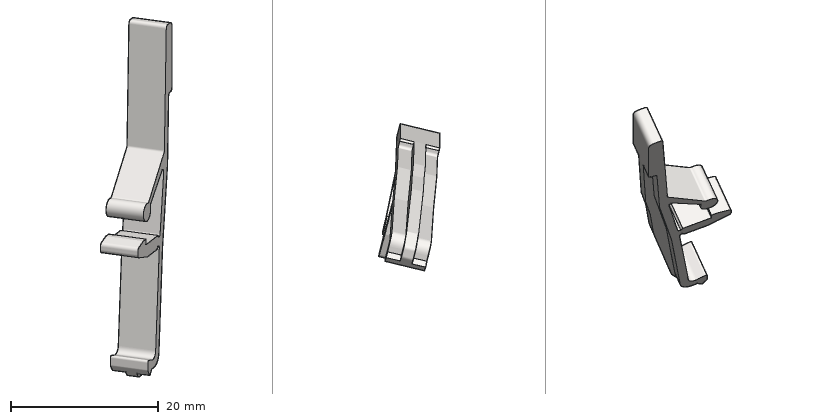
import cadquery as cq
import math


clip_width = 5.5
clip_height = 48.98
clip_depth = 12.12

plate_thickness = 1.25
plate_start = (1.21, 39.07)
upper_kink = (1.60, 28.96)
lower_kink = (3.37, 17.60)
heel_start = (4.60, 3.41)

pad_bottom = plate_start[1]
pad_back_radius = 0.8
pad_front_radius = 0.5
pad_root_radius = 0.45
pad_chamfer = 0.32

ball_radius = 1.26
ball_depth = 8.87
ball_height = 24.40
arm_root_top = 31.15
arm_root_bottom = 29.38
arm_end_top = (ball_depth + 0.34, ball_height + 0.35)
arm_end_bottom = (ball_depth - 0.16, ball_height - 0.18)
arm_top_radius = 0.4
ball_root_radius = 0.4
crotch_radius = 0.4

hook_top = 19.88
hook_bottom = 17.98
lip_height = 0.8
lip_start = 9.20
lip_flat_end = 10.20
hook_bottom_end = 8.66
nose_angle = math.radians(15)
nose_radius = 0.55
neck_relief = 0.3
neck_root_radius = 0.3
neck_top_end = 4.70
neck_bottom_end = 4.92

foot_inner_radius = 1.0
foot_top_slope = 0.25
toe_depth = 8.60
toe_top = 3.1
toe_bottom = 1.62
toe_top_radius = 0.3
toe_bottom_radius = 0.3
foot_edge = (7.84, 0.72)
sole_height = 1.42
sole_end = 7.16
heel_radius = 1.75

rib_width = 1.65
rib_kinks = [(0.37, 27.92), (1.04, 23.58), (1.52, 17.49), (4.15, 2.97)]
rib_bottom_start = 5.60
rib_bottom_end = 7.22
rib_bottom_radius = 0.6
foot_inside_height = 2.2


def back_depth(height):
    """Depth of the plate's back face; the end runs continue in a straight line."""
    if height > upper_kink[1]:
        start, end = plate_start, upper_kink
    elif height > lower_kink[1]:
        start, end = upper_kink, lower_kink
    else:
        start, end = lower_kink, heel_start
    share = (start[1] - height) / (start[1] - end[1])
    return start[0] + share * (end[0] - start[0])


def on_front(height):
    """Point on the plate's front face at the given height."""
    return (back_depth(height) + plate_thickness, height)


def toward(point, target, distance):
    """Point at a distance from one point along the line to another."""
    share = distance / math.dist(point, target)
    return tuple(p + share * (t - p) for p, t in zip(point, target))


def extrude_outline(corners, width):
    """Solid centred on X from (point, radius) corners, each rounded by a tangent arc."""
    points = [(-depth, height) for (depth, height), _ in corners]
    radii = [radius for _, radius in corners]
    path = None
    for i, (corner, radius) in enumerate(zip(points, radii)):
        before = points[i - 1]
        after = points[(i + 1) % len(points)]
        if radius == 0:
            path = path.lineTo(*corner) if path else cq.Workplane("YZ").moveTo(*corner)
            continue
        to_before = toward(corner, before, 1)
        to_after = toward(corner, after, 1)
        half_angle = math.asin(math.dist(to_before, to_after) / 2)
        start = toward(corner, before, radius / math.tan(half_angle))
        end = toward(corner, after, radius / math.tan(half_angle))
        bisector = tuple((b + a) / 2 for b, a in zip(to_before, to_after))
        middle = toward(corner, bisector, radius / math.sin(half_angle) - radius)
        path = path.lineTo(*start) if path else cq.Workplane("YZ").moveTo(*start)
        path = path.threePointArc(middle, end)
    return path.close().extrude(width / 2, both=True)


def pad_corners():
    return [
        ((pad_chamfer, pad_bottom), 0),
        ((0, pad_bottom + pad_chamfer), 0),
        ((0, clip_height), pad_back_radius),
        (on_front(clip_height), pad_front_radius),
    ]


def arm_corners():
    return [
        (on_front(arm_root_top), arm_top_radius),
        (arm_end_top, 0),
        (arm_end_bottom, 0),
        (on_front(arm_root_bottom), crotch_radius),
    ]


def hook_corners():
    """Catch hook with a lip on top, a wedge nose and a relieved neck at the plate."""
    lip_top = hook_top + lip_height
    neck_top = hook_top - neck_relief
    neck_bottom = hook_bottom + neck_relief
    nose_slope = math.tan(nose_angle)
    nose_top = lip_top - nose_slope * (clip_depth - lip_flat_end)
    nose_bottom = hook_bottom + nose_slope * (clip_depth - hook_bottom_end)
    return [
        (on_front(neck_top), neck_root_radius),
        ((neck_top_end, neck_top), 0),
        ((neck_top_end + neck_relief, hook_top), 0),
        ((lip_start, hook_top), 0),
        ((lip_start, lip_top), 0),
        ((lip_flat_end, lip_top), 0),
        ((clip_depth, nose_top), nose_radius),
        ((clip_depth, nose_bottom), nose_radius),
        ((hook_bottom_end, hook_bottom), 0),
        ((neck_bottom_end + neck_relief, hook_bottom), 0),
        ((neck_bottom_end, neck_bottom), 0),
        (on_front(neck_bottom), neck_root_radius),
    ]


def foot_corners():
    inner_height = toe_top - foot_top_slope * (toe_depth - on_front(toe_top)[0])
    return [
        (on_front(inner_height), foot_inner_radius),
        ((toe_depth, toe_top), toe_top_radius),
        ((toe_depth, toe_bottom), toe_bottom_radius),
        (foot_edge, 0),
        ((sole_end, sole_height), 0),
        ((back_depth(sole_height), sole_height), heel_radius),
    ]


def plate_back_corners():
    return [
        (lower_kink, 0),
        (upper_kink, 0),
        (plate_start, pad_root_radius),
    ]


def rib_corners():
    """Rib outline, closed along the middle of the plate and foot so that it fuses with them."""
    def mid_plate(height):
        return (back_depth(height) + plate_thickness / 2, height)

    back = [((0, pad_bottom + pad_chamfer), 0)] + [(kink, 0) for kink in rib_kinks]
    bottom = [
        ((rib_bottom_start, 0), rib_bottom_radius),
        ((rib_bottom_end, 0), rib_bottom_radius),
        (foot_edge, 0),
    ]
    inside_heights = [foot_inside_height, lower_kink[1], upper_kink[1], pad_bottom + pad_chamfer]
    inside = [((sole_end, foot_inside_height), 0)] + [(mid_plate(height), 0) for height in inside_heights]
    return back + bottom + inside


def add_ball(body):
    """Ball end across the full width, with fillets in the two corners where the arm enters it."""
    ball = (
        cq.Workplane("YZ")
        .center(-ball_depth, ball_height)
        .circle(ball_radius)
        .extrude(clip_width / 2, both=True)
    )
    corner_region = cq.selectors.BoxSelector(
        (-clip_width, -ball_depth, ball_height + ball_radius / 4),
        (clip_width, -ball_depth + ball_radius, ball_height + ball_radius),
    )
    return body.union(ball).edges("|X").edges(corner_region).fillet(ball_root_radius)


body_outline = pad_corners() + arm_corners() + hook_corners() + foot_corners() + plate_back_corners()
body = add_ball(extrude_outline(body_outline, clip_width))
rib = extrude_outline(rib_corners(), rib_width)

result = body.union(rib)